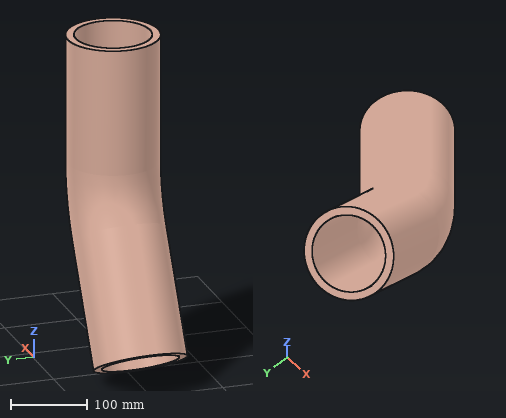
import cadquery as cq
import math

overall_height = 451.0
outer_diameter = 125.0
wall_thickness = 11.5
bend_radius = 189.5
bend_angle = math.radians(30.0)

outer_radius = outer_diameter / 2
inner_radius = outer_radius - wall_thickness

bend_height = bend_radius * math.sin(bend_angle)
end_rim_drop = outer_radius * math.sin(bend_angle)
leg_length = (overall_height - bend_height - end_rim_drop) / (1 + math.cos(bend_angle))


def bend_point(angle):
    """Centerline point in XZ after turning by the angle toward -X."""
    x = -bend_radius * (1 - math.cos(angle))
    z = -leg_length - bend_radius * math.sin(angle)
    return x, z


bend_start = bend_point(0)
bend_middle = bend_point(bend_angle / 2)
bend_end = bend_point(bend_angle)
lower_end = (
    bend_end[0] - leg_length * math.sin(bend_angle),
    bend_end[1] - leg_length * math.cos(bend_angle),
)
centerline = (
    cq.Workplane("XZ")
    .moveTo(0, 0)
    .lineTo(*bend_start)
    .threePointArc(bend_middle, bend_end)
    .lineTo(*lower_end)
)

result = cq.Workplane("XY").circle(outer_radius).circle(inner_radius).sweep(centerline)